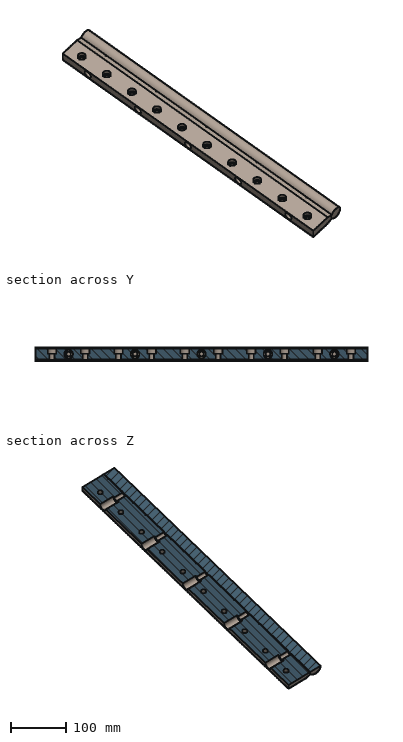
import cadquery as cq

length = 600.0
total_width = 74.5
shaft_diameter = 25.0
shaft_radius = shaft_diameter / 2

support_height = 20.0
flat_width = 39.5
neck_height = 12.0

front_y = -total_width / 2
flat_back_y = front_y + flat_width
shaft_y = total_width / 2 - shaft_radius
neck_half_height = neck_height / 2
neck_y = shaft_y - (shaft_radius**2 - neck_half_height**2) ** 0.5

bore_diameter = 8.5
counterbore_diameter = 15.0
mounting_counterbore_depth = 9.0
shaft_counterbore_depth = 30.0

mounting_hole_count = 10
mounting_hole_pitch = length / mounting_hole_count
mounting_hole_inset = 18.0
mounting_hole_y = front_y + mounting_hole_inset

shaft_hole_count = 5
shaft_hole_pitch = length / shaft_hole_count


def make_shaft():
    """Plain round shaft along X."""
    return (
        cq.Workplane("YZ", origin=(-length / 2, 0, 0))
        .center(shaft_y, 0)
        .circle(shaft_radius)
        .extrude(length)
    )


def make_support_blank():
    """Bar that tapers to a neck, with a concave seat for the shaft."""
    half_height = support_height / 2
    return (
        cq.Workplane("YZ", origin=(-length / 2, 0, 0))
        .moveTo(front_y, -half_height)
        .lineTo(flat_back_y, -half_height)
        .lineTo(neck_y, -neck_half_height)
        .threePointArc((shaft_y - shaft_radius, 0), (neck_y, neck_half_height))
        .lineTo(flat_back_y, half_height)
        .lineTo(front_y, half_height)
        .close()
        .extrude(length)
    )


def cut_mounting_holes(support):
    """Row of vertical through holes, counterbored from the top."""
    return (
        support.copyWorkplane(cq.Workplane("XY", origin=(0, mounting_hole_y, support_height / 2)))
        .rarray(mounting_hole_pitch, 6, mounting_hole_count, 1)
        .cboreHole(bore_diameter, counterbore_diameter, mounting_counterbore_depth)
    )


def cut_shaft_screw_holes(support):
    """Row of horizontal holes from the front face to the shaft seat."""
    return (
        support.copyWorkplane(cq.Workplane("XZ", origin=(0, front_y, 0)))
        .rarray(shaft_hole_pitch, 6, shaft_hole_count, 1)
        .cboreHole(bore_diameter, counterbore_diameter, shaft_counterbore_depth)
    )


shaft = make_shaft()
support = cut_shaft_screw_holes(cut_mounting_holes(make_support_blank()))

result = cq.Compound.makeCompound([shaft.val(), support.val()])